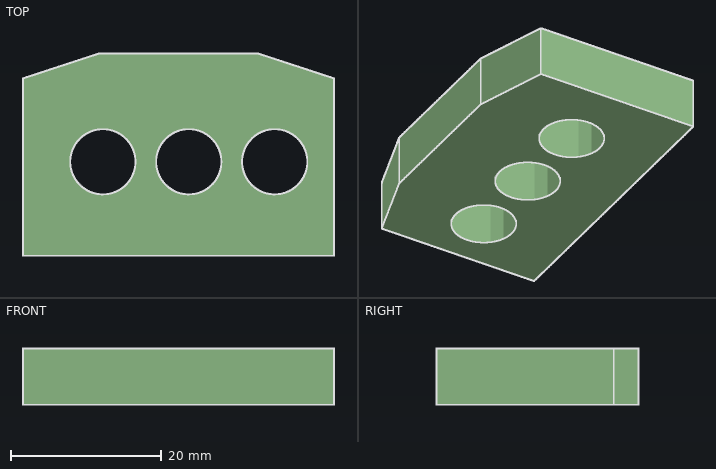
import cadquery as cq

length = 41.4
depth = 26.9
thickness = 7.5

corner_run = 10.1
corner_drop = 3.3

hole_diameter = 8.65
hole_count = 3
hole_spacing = 11.43
row_center_x = length / 2 + 1.35
row_center_y = 12.5


def make_plate():
    outline = [
        (0, 0),
        (length, 0),
        (length, depth - corner_drop),
        (length - corner_run, depth),
        (corner_run, depth),
        (0, depth - corner_drop),
    ]
    return cq.Workplane("XY").polyline(outline).close().extrude(thickness)


def make_hole_row():
    return (
        cq.Workplane("XY")
        .center(row_center_x, row_center_y)
        .rarray(hole_spacing, 0.4, hole_count, 1)
        .circle(hole_diameter / 2)
        .extrude(thickness)
    )


result = make_plate().cut(make_hole_row())